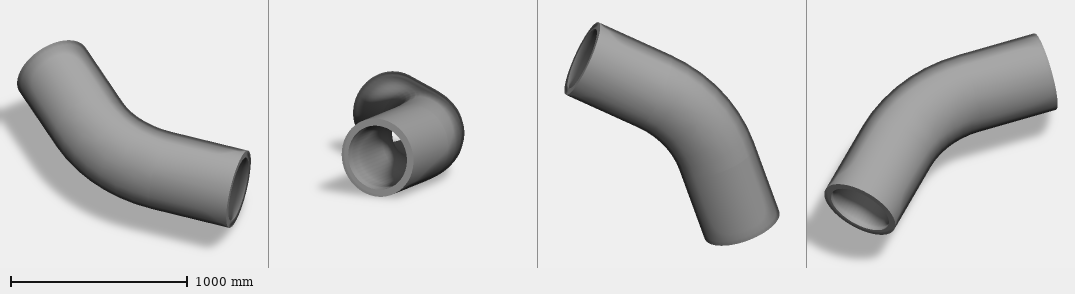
import cadquery as cq
import math

overall_length = 1440.0
outer_diameter = 450.0
bore_diameter = 368.0
leg_length = 458.0
bend_angle = 45.0

outer_radius = outer_diameter / 2
bend_sine = math.sin(math.radians(bend_angle))
bend_cosine = math.cos(math.radians(bend_angle))
straight_reach = leg_length * (1 + bend_cosine)
bend_radius = (overall_length - straight_reach) / bend_sine - outer_radius


def centreline():
    """Straight leg along +X, arc turning towards +Y, then a second leg of equal length."""
    half_angle = math.radians(bend_angle / 2)
    arc_middle = (
        leg_length + bend_radius * math.sin(half_angle),
        bend_radius * (1 - math.cos(half_angle)),
    )
    arc_end = (
        leg_length + bend_radius * bend_sine,
        bend_radius * (1 - bend_cosine),
    )
    return (
        cq.Workplane("XY")
        .lineTo(leg_length, 0)
        .threePointArc(arc_middle, arc_end)
        .line(leg_length * bend_cosine, leg_length * bend_sine)
    )


ring = cq.Workplane("YZ").circle(outer_radius).circle(bore_diameter / 2)
result = ring.sweep(centreline())